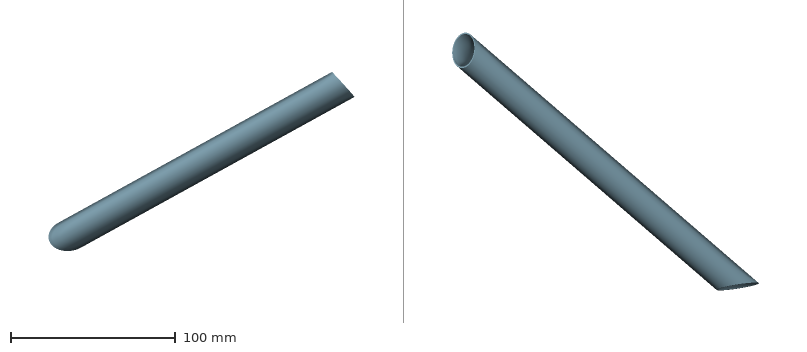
import cadquery as cq

outer_diameter = 19.9
wall = 0.78

axis_run = cq.Vector(151.8, 67.9, 146.5)

lower_cut_normal = cq.Vector(-0.38, 0.31, -1)
upper_cut_normal = cq.Vector(0.46, 0.88, 0.5)

cut_allowance = 2 * outer_diameter
cutter_size = 6 * outer_diameter

lower_centre = axis_run * -0.5
upper_centre = axis_run * 0.5


def oversized_tube():
    """Straight tube running past both mouth centres."""
    start = lower_centre - axis_run.normalized() * cut_allowance
    length = axis_run.Length + 2 * cut_allowance
    section = cq.Workplane(cq.Plane(origin=start, normal=axis_run))
    return section.circle(outer_diameter / 2).circle(outer_diameter / 2 - wall).extrude(length)


def mitre_cutter(centre, normal):
    """Block filling the space just outside a mitred mouth."""
    cut_plane = cq.Workplane(cq.Plane(origin=centre, normal=normal))
    return cut_plane.rect(cutter_size, cutter_size).extrude(cutter_size)


result = (
    oversized_tube()
    .cut(mitre_cutter(lower_centre, lower_cut_normal))
    .cut(mitre_cutter(upper_centre, upper_cut_normal))
)